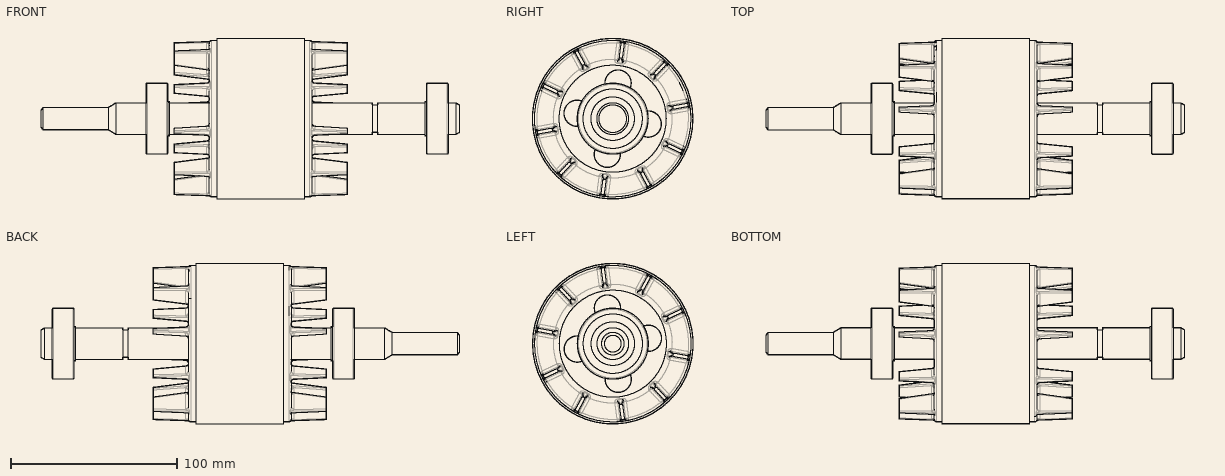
import cadquery as cq


SHAFT_LENGTH = 251.5
SHAFT_RADIUS = 9.5
SPIGOT_RADIUS = 6.8
SPIGOT_LENGTH = 40.5
TAPER_END = 45.0
SPIGOT_CHAMFER_LENGTH = 1.3
SPIGOT_CHAMFER_DROP = 1.8
TAIL_CHAMFER_LENGTH = 2.3
TAIL_CHAMFER_DROP = 1.3
COLLAR_RADIUS = 10.3
COLLAR_WIDTH = 1.0
CLIP_GROOVE_START = 199.0
CLIP_GROOVE_WIDTH = 3.0
CLIP_GROOVE_RADIUS = 8.3

BEARING_WIDTH = 13.0
BEARING_RADIUS = 21.4
BEARING_EDGE_FILLET = 0.8
OUTER_RACE_BORE = 17.8
INNER_RACE_RADIUS = 13.0
BALL_RADIUS = 3.3
LEFT_BEARING_START = 63.0
RIGHT_BEARING_START = 231.5
BALL_CIRCLE_RADIUS = (OUTER_RACE_BORE + INNER_RACE_RADIUS) / 2

ROTOR_CENTRE = 132.0
CORE_RADIUS = 48.3
CORE_HALF_LENGTH = 26.5
VENT_COUNT = 4
VENT_RADIUS = 7.8
VENT_CIRCLE_RADIUS = 21.5
VENT_ANGLE = 8.6

RING_OUTER_RADIUS = 47.0
RING_INNER_RADIUS = 32.2
RING_HEIGHT = 4.5
RING_OUTER_FILLET = 1.5
RING_INNER_FILLET = 3.5
BLADE_COUNT = 10
FIRST_BLADE_ANGLE = 7.6
BLADE_HEIGHT = 21.0
BLADE_ROOT_INNER = 33.2
BLADE_ROOT_OUTER = 46.8
BLADE_ROOT_THICKNESS = 4.0
BLADE_TIP_INNER = 36.7
BLADE_TIP_OUTER = 46.0
BLADE_TIP_THICKNESS = 2.0
BLADE_ROOT_FILLET = 1.8
BLADE_EDGE_FILLET = 0.8
FACE_TOLERANCE = 0.03


def revolve_about_x(profile):
    return profile.close().revolve(360, (0, 0, 0), (1, 0, 0))


def cylinder_along_x(start, length, radius):
    return cq.Workplane("YZ", origin=(start, 0, 0)).circle(radius).extrude(length)


def tube_along_x(start, length, outer_radius, inner_radius):
    return cq.Workplane("YZ", origin=(start, 0, 0)).circle(outer_radius).circle(inner_radius).extrude(length)


def make_shaft():
    body = revolve_about_x(
        cq.Workplane("XY")
        .moveTo(0, 0)
        .lineTo(0, SPIGOT_RADIUS - SPIGOT_CHAMFER_DROP)
        .lineTo(SPIGOT_CHAMFER_LENGTH, SPIGOT_RADIUS)
        .lineTo(SPIGOT_LENGTH, SPIGOT_RADIUS)
        .lineTo(TAPER_END, SHAFT_RADIUS)
        .lineTo(SHAFT_LENGTH - TAIL_CHAMFER_LENGTH, SHAFT_RADIUS)
        .lineTo(SHAFT_LENGTH, SHAFT_RADIUS - TAIL_CHAMFER_DROP)
        .lineTo(SHAFT_LENGTH, 0)
    )
    for collar_start in (LEFT_BEARING_START + BEARING_WIDTH, RIGHT_BEARING_START - COLLAR_WIDTH):
        body = body.union(cylinder_along_x(collar_start, COLLAR_WIDTH, COLLAR_RADIUS))
    clip_groove = tube_along_x(CLIP_GROOVE_START, CLIP_GROOVE_WIDTH, COLLAR_RADIUS, CLIP_GROOVE_RADIUS)
    return body.cut(clip_groove)


def make_ball_ring(start):
    """The ring of balls, simplified to a torus midway along the bearing."""
    middle = start + BEARING_WIDTH / 2
    circle = cq.Workplane("XY").center(middle, BALL_CIRCLE_RADIUS).circle(BALL_RADIUS)
    return circle.revolve(360, (0, -BALL_CIRCLE_RADIUS, 0), (1, -BALL_CIRCLE_RADIUS, 0))


def make_outer_race(start):
    ring = cylinder_along_x(start, BEARING_WIDTH, BEARING_RADIUS).edges().fillet(BEARING_EDGE_FILLET)
    bore = cylinder_along_x(start, BEARING_WIDTH, OUTER_RACE_BORE)
    return ring.cut(bore).cut(make_ball_ring(start))


def make_inner_race(start):
    return tube_along_x(start, BEARING_WIDTH, INNER_RACE_RADIUS, SHAFT_RADIUS).cut(make_ball_ring(start))


def make_blade():
    """One fan blade rising from the +X end of the core, tapering to its tip, centred on +Z."""
    root_middle = (BLADE_ROOT_INNER + BLADE_ROOT_OUTER) / 2
    tip_middle = (BLADE_TIP_INNER + BLADE_TIP_OUTER) / 2
    blade = (
        cq.Workplane("YZ", origin=(CORE_HALF_LENGTH, 0, 0))
        .center(0, root_middle)
        .rect(BLADE_ROOT_THICKNESS, BLADE_ROOT_OUTER - BLADE_ROOT_INNER)
        .workplane(offset=RING_HEIGHT + BLADE_HEIGHT)
        .center(0, tip_middle - root_middle)
        .rect(BLADE_TIP_THICKNESS, BLADE_TIP_OUTER - BLADE_TIP_INNER)
        .loft(ruled=True)
    )
    return blade.edges("%BSPLINE").fillet(BLADE_EDGE_FILLET)


def make_end_ring():
    """The +X end ring with both edges of its outer face rounded."""
    ring = tube_along_x(CORE_HALF_LENGTH, RING_HEIGHT, RING_OUTER_RADIUS, RING_INNER_RADIUS)
    ring = ring.faces(">X").edges(cq.selectors.RadiusNthSelector(1)).fillet(RING_OUTER_FILLET)
    return ring.faces(">X").edges(cq.selectors.RadiusNthSelector(0)).fillet(RING_INNER_FILLET)


def make_fan():
    """The +X end ring with its blades, filleted at their roots."""
    fan = make_end_ring()
    blade = make_blade()
    for index in range(BLADE_COUNT):
        angle = index * 360 / BLADE_COUNT - FIRST_BLADE_ANGLE
        fan = fan.union(blade.rotate((0, 0, 0), (1, 0, 0), angle))
    ring_face = CORE_HALF_LENGTH + RING_HEIGHT
    ring_face_slab = cq.selectors.BoxSelector(
        (ring_face - FACE_TOLERANCE, -CORE_RADIUS, -CORE_RADIUS),
        (ring_face + FACE_TOLERANCE, CORE_RADIUS, CORE_RADIUS),
    )
    return fan.edges(ring_face_slab).edges("%BSPLINE").fillet(BLADE_ROOT_FILLET)


def make_rotor():
    core_length = 2 * CORE_HALF_LENGTH
    core = cylinder_along_x(-CORE_HALF_LENGTH, core_length, CORE_RADIUS)
    bore = cylinder_along_x(-CORE_HALF_LENGTH, core_length, SHAFT_RADIUS)
    vents = (
        cq.Workplane("YZ", origin=(-CORE_HALF_LENGTH, 0, 0))
        .polarArray(VENT_CIRCLE_RADIUS, -VENT_ANGLE, 360, VENT_COUNT)
        .circle(VENT_RADIUS)
        .extrude(core_length)
    )
    fan = make_fan()
    rotor = core.cut(bore).cut(vents).union(fan).union(fan.mirror("YZ"))
    return rotor.translate((ROTOR_CENTRE, 0, 0))


shaft = make_shaft()
rotor = make_rotor()
bearing_parts = []
for bearing_start in (LEFT_BEARING_START, RIGHT_BEARING_START):
    for make_part in (make_outer_race, make_ball_ring, make_inner_race):
        bearing_parts.append(make_part(bearing_start).val())

result = cq.Compound.makeCompound([shaft.val(), rotor.val(), *bearing_parts])